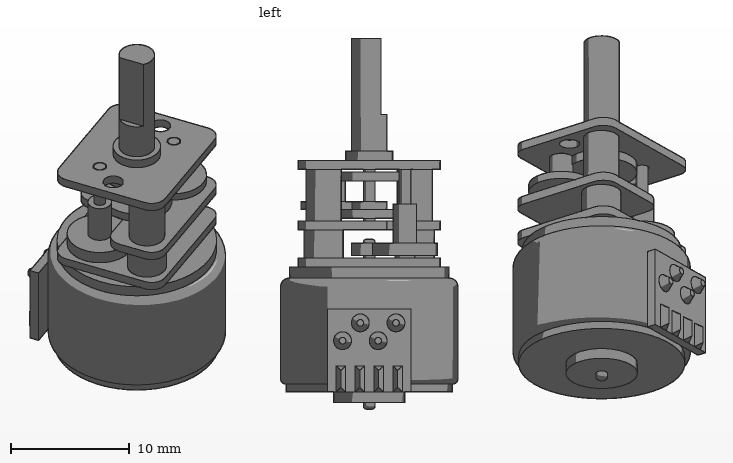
import cadquery as cq


can_radius = 7.495
end_boss_radius = 3.0
lower_rim_radius = 7.0
can_bottom_fillet = 0.47
can_top_fillet = 0.75
upper_rim_radius = 6.73
end_boss_z = 0.55
lower_rim_z = 1.47
can_bottom_z = 2.13
can_top_z = 11.08
upper_rim_top_z = 12.02

axle_radius = 0.5
rotor_tip_fillet = 0.28
rotor_top_z = 14.37

plate_length_x = 10.0
plate_width_y = 12.0
plate_thickness = 0.75
plate_corner_radius = 1.28
bottom_plate_z = upper_rim_top_z
middle_plate_z = 15.15
top_plate_z = 20.25
notch_edge_x = 0.0
notch_edge_y = -1.5
screw_hole_radius = 0.85
screw_hole_y = 4.5
pin_hole_radius = 0.55

column_x = 2.85
column_y = 3.85
lower_column_radius = 1.65
upper_column_radius = 1.5

idler_x = 2.0
idler_y = 3.0
idler_gear_radius = 2.75
central_gear_radius = 2.97
pinion_radius = 1.5
hub_radius = 1.0
spacer_radius = 0.85
first_gear_z = 12.95
first_gear_top_z = 14.02
first_hub_top_z = 17.3
second_gear_z = 16.12
second_gear_top_z = 16.87
second_pinion_top_z = 17.53
output_gear_z = 19.25
output_gear_top_z = 20.03

collar_radius = 2.0
collar_top_z = 21.8
shaft_radius = 1.5
shaft_top_z = 31.3
shaft_flat_z = 24.88
shaft_flat_offset = 1.0

board_thickness = 0.8
board_width = 7.07
board_bottom_z = lower_rim_z
board_top_z = 8.48
board_face_x = -can_radius - board_thickness
cone_base_radius = 0.75
cone_tip_radius = 0.28
cone_height = 0.7
cone_pitch = 1.5
lower_cone_z = 5.8
upper_cone_z = lower_cone_z + cone_pitch
first_cone_y = -2.25
pad_count = 4
pad_pitch = 1.6
pad_width = 0.78
pad_length = 2.2
pad_height = 0.6
pad_end_slope = 0.38

bottom_plate_top_z = bottom_plate_z + plate_thickness
middle_plate_top_z = middle_plate_z + plate_thickness
top_plate_top_z = top_plate_z + plate_thickness


def cylinder(radius, bottom_z, top_z, x=0.0, y=0.0):
    """Upright cylinder between two heights."""
    return cq.Workplane("XY", origin=(x, y, bottom_z)).circle(radius).extrude(top_z - bottom_z)


def make_motor():
    can = cylinder(can_radius, can_bottom_z, can_top_z)
    can = can.faces("<Z").edges().fillet(can_bottom_fillet)
    can = can.faces(">Z").edges().fillet(can_top_fillet)
    rotor = cylinder(axle_radius, 0, rotor_top_z).faces("<Z or >Z").edges().fillet(rotor_tip_fillet)
    return (
        can.union(cylinder(end_boss_radius, end_boss_z, lower_rim_z))
        .union(cylinder(lower_rim_radius, lower_rim_z, can_bottom_z))
        .union(cylinder(upper_rim_radius, can_bottom_z, upper_rim_top_z))
        .union(rotor)
    )


def make_plate(bottom_z):
    plate = cq.Workplane("XY", origin=(0, 0, bottom_z))
    plate = plate.rect(plate_length_x, plate_width_y).extrude(plate_thickness)
    return plate.edges("|Z").fillet(plate_corner_radius)


def make_middle_plate():
    """Plate whose (-X, -Y) corner is cut away around the first idler."""
    half_x = plate_length_x / 2
    half_y = plate_width_y / 2
    plate = (
        cq.Workplane("XY", origin=(0, 0, middle_plate_z))
        .moveTo(-half_x, half_y)
        .lineTo(half_x, half_y)
        .lineTo(half_x, -half_y)
        .lineTo(notch_edge_x, -half_y)
        .lineTo(notch_edge_x, notch_edge_y)
        .lineTo(-half_x, notch_edge_y)
        .close()
        .extrude(plate_thickness)
    )
    return plate.edges("|Z").fillet(plate_corner_radius)


def make_top_plate():
    """Plate with two screw holes and two clearance holes for the idler pins."""
    plate = make_plate(top_plate_z)
    for side in (-1, 1):
        plate = plate.cut(
            cylinder(screw_hole_radius, top_plate_z, top_plate_top_z, 0, side * screw_hole_y)
        )
        plate = plate.cut(
            cylinder(pin_hole_radius, top_plate_z, top_plate_top_z, side * idler_x, side * idler_y)
        )
    return plate


def make_column(side):
    """Stepped column, thicker below the middle plate; side is the sign of its X."""
    x = side * column_x
    y = -side * column_y
    lower = cylinder(lower_column_radius, bottom_plate_top_z, middle_plate_z, x, y)
    upper = cylinder(upper_column_radius, middle_plate_top_z, top_plate_z, x, y)
    return lower.union(upper)


def make_idler(side, seat_z, gear_z, gear_top_z, hub_top_z):
    """Idler gear with its hub, and a pin that ends flush with the top plate."""
    x = side * idler_x
    y = side * idler_y
    gear = cylinder(idler_gear_radius, gear_z, gear_top_z, x, y)
    hub = cylinder(hub_radius, gear_top_z, hub_top_z, x, y)
    pin = cylinder(axle_radius, seat_z, top_plate_top_z, x, y)
    return gear.union(hub).union(pin)


def make_gear_train():
    rotor_pinion = cylinder(pinion_radius, first_gear_z, first_gear_top_z)
    first_idler = make_idler(-1, bottom_plate_top_z, first_gear_z, first_gear_top_z, first_hub_top_z)
    spacer = cylinder(spacer_radius, bottom_plate_top_z, first_gear_z, -idler_x, -idler_y)
    second_gear = cylinder(central_gear_radius, second_gear_z, second_gear_top_z)
    second_pinion = cylinder(pinion_radius, second_gear_top_z, second_pinion_top_z)
    second_idler = make_idler(
        1, middle_plate_top_z, second_gear_top_z, second_pinion_top_z, output_gear_top_z
    )
    output_gear = cylinder(central_gear_radius, output_gear_z, output_gear_top_z)
    central_axle = cylinder(axle_radius, middle_plate_top_z, top_plate_z)
    return (
        rotor_pinion.union(first_idler)
        .union(spacer)
        .union(second_gear)
        .union(second_pinion)
        .union(second_idler)
        .union(output_gear)
        .union(central_axle)
    )


def make_output_shaft():
    """D-shaft with its flat facing -Y, rising from a collar on the top plate."""
    collar = cylinder(collar_radius, top_plate_top_z, collar_top_z)
    shaft = cylinder(shaft_radius, top_plate_top_z, shaft_top_z)
    flat_cut = cq.Workplane("XY").box(
        2 * shaft_radius, shaft_radius, shaft_top_z - shaft_flat_z, centered=(True, False, False)
    )
    flat_cut = flat_cut.translate((0, -shaft_flat_offset - shaft_radius, shaft_flat_z))
    return collar.union(shaft.cut(flat_cut))


def make_gearmotor():
    body = make_motor().union(make_plate(bottom_plate_z)).union(make_middle_plate())
    body = body.union(make_top_plate())
    for side in (-1, 1):
        body = body.union(make_column(side))
    return body.union(make_gear_train()).union(make_output_shaft())


def make_solder_cone(y, z):
    """Blunt cone standing on the outer face of the board."""
    return cq.Workplane(
        cq.Solid.makeCone(
            cone_base_radius,
            cone_tip_radius,
            cone_height,
            pnt=cq.Vector(board_face_x, y, z),
            dir=cq.Vector(-1, 0, 0),
        )
    )


def make_pad(y):
    """Hip-roof pad: a triangular ridge along Z whose two ends slope back to the board."""
    ridge_x = board_face_x - pad_height
    pad_top_z = board_bottom_z + pad_length
    ridge = (
        cq.Workplane("XY", origin=(0, 0, board_bottom_z))
        .moveTo(board_face_x, y - pad_width / 2)
        .lineTo(ridge_x, y)
        .lineTo(board_face_x, y + pad_width / 2)
        .close()
        .extrude(pad_length)
    )
    sloped_ends = (
        cq.Workplane("XZ", origin=(0, y + pad_width / 2, 0))
        .moveTo(board_face_x, board_bottom_z)
        .lineTo(ridge_x, board_bottom_z + pad_end_slope)
        .lineTo(ridge_x, pad_top_z - pad_end_slope)
        .lineTo(board_face_x, pad_top_z)
        .close()
        .extrude(pad_width)
    )
    return ridge.intersect(sloped_ends)


def make_terminal_board():
    """Board touching the can along a line, with staggered solder cones above a row of pads."""
    board = cq.Workplane("XY").box(
        board_thickness, board_width, board_top_z - board_bottom_z, centered=(False, True, False)
    )
    board = board.translate((board_face_x, 0, board_bottom_z))
    for index in range(pad_count):
        cone_z = lower_cone_z if index % 2 else upper_cone_z
        board = board.union(make_solder_cone(first_cone_y + index * cone_pitch, cone_z))
        pad_y = (index - (pad_count - 1) / 2) * pad_pitch
        board = board.union(make_pad(pad_y))
    return board


gearmotor = make_gearmotor()
terminal_board = make_terminal_board()

result = cq.Compound.makeCompound([gearmotor.val(), terminal_board.val()])